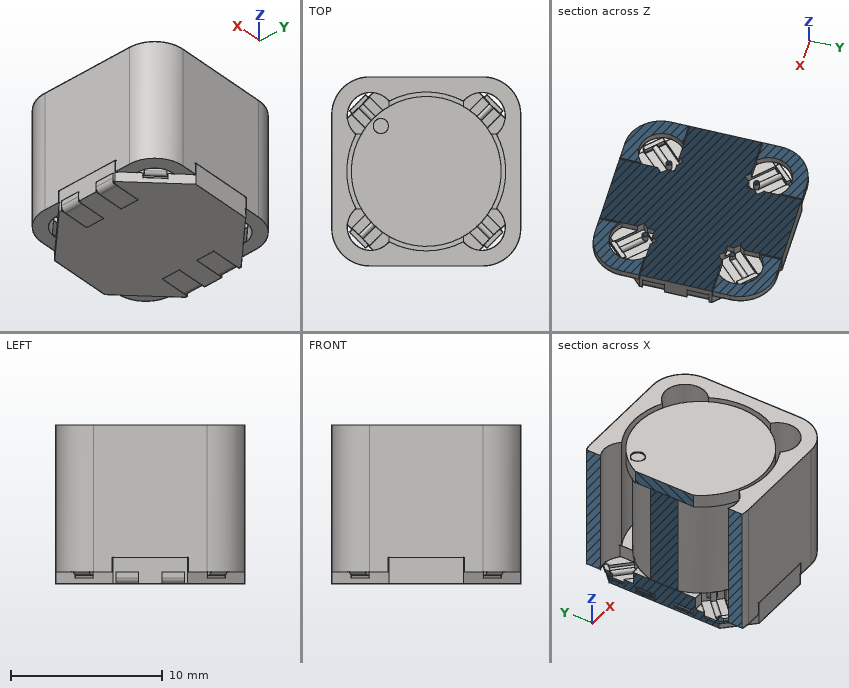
import cadquery as cq
import math

SIDE = 12.5
HEIGHT = 10.5
HALF = SIDE / 2
CORNER_ANGLES = [45, 135, 225, 315]

PLATE_HEIGHT = 0.8
RIB_TOP = 1.75
RIB_WIDTH = 4.95
BASE_CHAMFER = (SIDE - RIB_WIDTH) / 2
CORNER_FACE = (SIDE - BASE_CHAMFER) / math.sqrt(2)

SHIELD_CORNER_RADIUS = 2.5
BORE_RADIUS = 5.25
POCKET_RADIUS = 1.55
POCKET_OFFSET = 3.66
NOTCH_CLEARANCE = 0.05

FLANGE_RADIUS = 9.9 / 2
FLANGE_THICKNESS = 1.0
CORE_TOP = HEIGHT - 0.1
FLANGE_BOTTOM = CORE_TOP - FLANGE_THICKNESS
POST_RADIUS = 5.8 / 2
DOT_RADIUS = 1.0 / 2
DOT_OFFSET = 3.0
DOT_DEPTH = 0.1

STRIP_THICKNESS = 0.18
STRIP_BOTTOM = 0.4
STRIP_TOP = STRIP_BOTTOM + STRIP_THICKNESS
STRIP_WIDTH = 1.65
STRIP_START = 1.75
STRIP_OVERHANG = 0.02
STRIP_END_RADIUS = 0.05
LIP_WIDTH = 1.5
LIP_OVERHANG = 0.25
LIP_EMBED = 0.06
LIP_BACK = CORNER_FACE - LIP_EMBED
LIP_TOP = 1.0
LIP_HOLLOW_RADIUS = 0.3
PAD_WIDTH = 1.5
PAD_CENTER = 1.52
PAD_LENGTH = 2.5
PAD_BEND_RADIUS = 0.4

WIRE_RADIUS = 0.4 / 2
COIL_RADIUS = 4.5
RISER_DISTANCE = 4.25
LEAD_HEIGHT = STRIP_TOP + WIRE_RADIUS
SLOT_START = RISER_DISTANCE - 2 * WIRE_RADIUS


def block(x0, x1, y0, y1, z0, z1):
    """Axis-aligned box between the given limits."""
    return cq.Workplane("XY").box(x1 - x0, y1 - y0, z1 - z0, centered=False).translate((x0, y0, z0))


def turned(shape, angle):
    """Copy of a shape turned about the part axis."""
    return shape.rotate((0, 0, 0), (0, 0, 1), angle)


def rib_cross(width, z0, z1):
    """Two crossing bars that span the part along X and along Y."""
    along_x = block(-HALF, HALF, -width / 2, width / 2, z0, z1)
    return along_x.union(turned(along_x, 90))


def make_shield():
    """Square tube with round corners, four corner pockets and notches for the base ribs."""
    tube = (
        cq.Workplane("XY", origin=(0, 0, PLATE_HEIGHT))
        .rect(SIDE, SIDE)
        .extrude(HEIGHT - PLATE_HEIGHT)
        .edges("|Z")
        .fillet(SHIELD_CORNER_RADIUS)
    )
    bore = cq.Workplane("XY").circle(BORE_RADIUS).extrude(HEIGHT)
    pockets = (
        cq.Workplane("XY")
        .rect(2 * POCKET_OFFSET, 2 * POCKET_OFFSET, forConstruction=True)
        .vertices()
        .circle(POCKET_RADIUS)
        .extrude(HEIGHT)
    )
    notches = rib_cross(RIB_WIDTH + 2 * NOTCH_CLEARANCE, 0, RIB_TOP)
    return tube.cut(bore).cut(pockets).cut(notches)


def make_core():
    """Post that stands on the base ribs, with a flange on top and a shallow marking dot."""
    post = cq.Workplane("XY", origin=(0, 0, RIB_TOP)).circle(POST_RADIUS).extrude(CORE_TOP - RIB_TOP)
    flange = (
        cq.Workplane("XY", origin=(0, 0, FLANGE_BOTTOM))
        .circle(FLANGE_RADIUS)
        .extrude(FLANGE_THICKNESS)
    )
    dot = (
        cq.Workplane("XY", origin=(-DOT_OFFSET, DOT_OFFSET, CORE_TOP - DOT_DEPTH))
        .circle(DOT_RADIUS)
        .extrude(DOT_DEPTH)
    )
    return post.union(flange).cut(dot)


def make_terminal():
    """Terminal whose strip ends at the +X +Y corner and whose pad is on the +X side."""
    strip_end = CORNER_FACE + STRIP_OVERHANG
    strip = (
        block(STRIP_START, strip_end, -STRIP_WIDTH / 2, STRIP_WIDTH / 2, STRIP_BOTTOM, STRIP_TOP)
        .edges(">X and >Z")
        .fillet(STRIP_END_RADIUS)
    )
    lip = (
        cq.Workplane("XZ")
        .moveTo(LIP_BACK, STRIP_TOP)
        .lineTo(strip_end - STRIP_END_RADIUS, STRIP_TOP)
        .radiusArc((CORNER_FACE + LIP_OVERHANG, PLATE_HEIGHT), -LIP_HOLLOW_RADIUS)
        .lineTo(CORNER_FACE + LIP_OVERHANG, LIP_TOP)
        .lineTo(LIP_BACK, LIP_TOP)
        .close()
        .extrude(LIP_WIDTH / 2, both=True)
    )
    clip_start = HALF - PAD_LENGTH
    clip = (
        cq.Workplane("XZ", origin=(0, PAD_CENTER, 0))
        .moveTo(clip_start, 0)
        .lineTo(HALF - PAD_BEND_RADIUS, 0)
        .radiusArc((HALF, PAD_BEND_RADIUS), -PAD_BEND_RADIUS)
        .lineTo(HALF, PLATE_HEIGHT)
        .lineTo(HALF - STRIP_THICKNESS, PLATE_HEIGHT)
        .lineTo(HALF - STRIP_THICKNESS, STRIP_TOP)
        .lineTo(STRIP_START, STRIP_TOP)
        .lineTo(STRIP_START, STRIP_BOTTOM)
        .lineTo(HALF - PAD_BEND_RADIUS, STRIP_BOTTOM)
        .radiusArc((HALF - PAD_BEND_RADIUS, STRIP_THICKNESS), (STRIP_BOTTOM - STRIP_THICKNESS) / 2)
        .lineTo(clip_start, STRIP_THICKNESS)
        .close()
        .extrude(PAD_WIDTH / 2, both=True)
    )
    return turned(strip.union(lip), CORNER_ANGLES[0]).union(clip)


def make_all_terminals():
    """Four terminals, mirrored about the XZ and YZ planes."""
    terminal = make_terminal()
    plus_x_pair = [terminal, terminal.mirror("XZ")]
    return plus_x_pair + [one.mirror("YZ") for one in plus_x_pair]


def make_base(terminals):
    """Chamfered plate with crossed ribs, slotted at the corners and cut out for the terminals."""
    plate = block(-HALF, HALF, -HALF, HALF, 0, PLATE_HEIGHT).edges("|Z").chamfer(BASE_CHAMFER)
    base = plate.union(rib_cross(RIB_WIDTH, 0, RIB_TOP))
    slot = block(SLOT_START, HALF, -STRIP_WIDTH / 2, STRIP_WIDTH / 2, STRIP_TOP, RIB_TOP)
    for angle in CORNER_ANGLES:
        base = base.cut(turned(slot, angle))
    for terminal in terminals:
        base = base.cut(terminal)
    for x in (-HALF, HALF - PAD_BEND_RADIUS):
        for y in (-PAD_CENTER, PAD_CENTER):
            base = base.cut(
                block(x, x + PAD_BEND_RADIUS, y - PAD_WIDTH / 2, y + PAD_WIDTH / 2, 0, PLATE_HEIGHT)
            )
    return base


def make_lead():
    """Bent wire that runs along +X from below the coil to the lip of a terminal."""
    run = (
        cq.Workplane("YZ", origin=(RISER_DISTANCE, 0, LEAD_HEIGHT))
        .circle(WIRE_RADIUS)
        .extrude(LIP_BACK - RISER_DISTANCE)
    )
    riser = (
        cq.Workplane("XY", origin=(RISER_DISTANCE, 0, LEAD_HEIGHT))
        .circle(WIRE_RADIUS)
        .extrude(RIB_TOP + WIRE_RADIUS - LEAD_HEIGHT)
    )
    elbow = cq.Workplane("XY").sphere(WIRE_RADIUS).translate((RISER_DISTANCE, 0, LEAD_HEIGHT))
    return run.union(riser).union(elbow)


def make_winding():
    """Coil around the +X half of the post, with a lead to each of the two +X corners."""
    coil = (
        cq.Workplane("XY", origin=(0, 0, RIB_TOP))
        .circle(COIL_RADIUS)
        .circle(POST_RADIUS)
        .extrude(FLANGE_BOTTOM - RIB_TOP)
        .intersect(block(0, HALF, -HALF, HALF, RIB_TOP, FLANGE_BOTTOM))
    )
    lead = make_lead()
    return coil.union(turned(lead, CORNER_ANGLES[0])).union(turned(lead, CORNER_ANGLES[-1]))


shield = make_shield()
core = make_core()
terminals = make_all_terminals()
base = make_base(terminals)
winding = make_winding()
windings = [turned(winding, angle) for angle in (0, 180)]

result = cq.Compound.makeCompound(
    [shield.val(), core.val(), base.val()]
    + [terminal.val() for terminal in terminals]
    + [one.val() for one in windings]
)